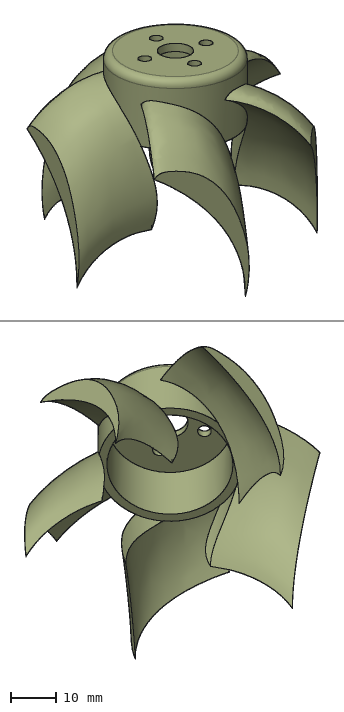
import cadquery as cq
import math

HUB_DIAMETER = 32.0
HUB_HEIGHT = 17.0
TOP_Z = 47.25
CAVITY_DIAMETER = 28.0
HUB_RADIUS = HUB_DIAMETER / 2
HUB_BOTTOM_Z = TOP_Z - HUB_HEIGHT
WALL = (HUB_DIAMETER - CAVITY_DIAMETER) / 2

BORE_DIAMETER = 8.0
BOLT_DIAMETER = 3.0
BOLT_COUNT = 4
BOLT_CIRCLE_RADIUS = BORE_DIAMETER

BLADE_COUNT = 5
TIP_REACH = 31.0
BEND_START_LOW = 14.25
BEND_START_HIGH = 10.9
BEND_RADIUS_LOW = 18.65
BEND_RADIUS_HIGH = 25.6
ROOT_START = 3.3
SKEW_ANGLE = 5.3
ARC_STATIONS = 7
CREST_HEIGHT = 32.3

NOSE = (-12.6, 30.75)
TRAILING_POINT = (8.3, 0)
CONVEX_SIDE = [(-11.5, 31.85), (-8.4, CREST_HEIGHT), (-2.05, 30.7), (3.6, 25.55), (7.3, 17.95), (9.2, 7.9)]
CONCAVE_SIDE = [(7.55, 7.0), (4.1, 15.7), (-1.7, 23.0)]


def lift_above_tip(reach, height):
    """How far a section point at a given tip height sits above the tip at a smaller reach."""
    share = height / CREST_HEIGHT
    start = BEND_START_LOW + share * (BEND_START_HIGH - BEND_START_LOW)
    radius = BEND_RADIUS_LOW + share * (BEND_RADIUS_HIGH - BEND_RADIUS_LOW)
    along_arc = max(reach - start, 0)
    tip_along_arc = TIP_REACH - start
    return math.sqrt(radius**2 - along_arc**2) - math.sqrt(radius**2 - tip_along_arc**2)


def blade_section(reach):
    """Airfoil wire in the plane y = -reach, shifted for the skew and the bend."""
    side_shift = (TIP_REACH - reach) * math.tan(math.radians(SKEW_ANGLE))

    def place(point):
        side, height = point
        return cq.Vector(side + side_shift, -reach, height + lift_above_tip(reach, height))

    convex = cq.Edge.makeSpline([place(p) for p in [NOSE, *CONVEX_SIDE, TRAILING_POINT]])
    concave = cq.Edge.makeSpline([place(p) for p in [TRAILING_POINT, *CONCAVE_SIDE, NOSE]])
    return cq.Wire.assembleEdges([convex, concave])


def make_blade():
    """Blade pointing along -Y, trimmed at its root by the hub cylinder."""
    root = cq.Solid.makeLoft([blade_section(ROOT_START), blade_section(BEND_START_HIGH)], True)
    step = (TIP_REACH - BEND_START_HIGH) / (ARC_STATIONS - 1)
    bend = cq.Solid.makeLoft([blade_section(BEND_START_HIGH + i * step) for i in range(ARC_STATIONS)])
    hub_core = cq.Workplane("XY").circle(HUB_RADIUS).extrude(TOP_Z)
    return cq.Workplane(root).union(cq.Workplane(bend)).cut(hub_core)


def make_hub():
    """Cup with a rounded rim, a central bore and a ring of bolt holes."""
    cup = cq.Workplane("XY").workplane(offset=HUB_BOTTOM_Z).circle(HUB_RADIUS).extrude(HUB_HEIGHT)
    cup = cup.faces(">Z").edges().fillet(WALL)
    cavity = (
        cq.Workplane("XY").workplane(offset=HUB_BOTTOM_Z)
        .circle(CAVITY_DIAMETER / 2).extrude(HUB_HEIGHT - WALL)
    )
    bore = cq.Workplane("XY").circle(BORE_DIAMETER / 2).extrude(TOP_Z)
    bolts = (
        cq.Workplane("XY").polarArray(BOLT_CIRCLE_RADIUS, 0, 360, BOLT_COUNT)
        .circle(BOLT_DIAMETER / 2).extrude(TOP_Z)
    )
    return cup.cut(cavity).cut(bore).cut(bolts)


result = make_hub()
blade = make_blade()
for index in range(BLADE_COUNT):
    turn = index * 360 / BLADE_COUNT
    result = result.union(blade.rotate((0, 0, 0), (0, 0, 1), turn))